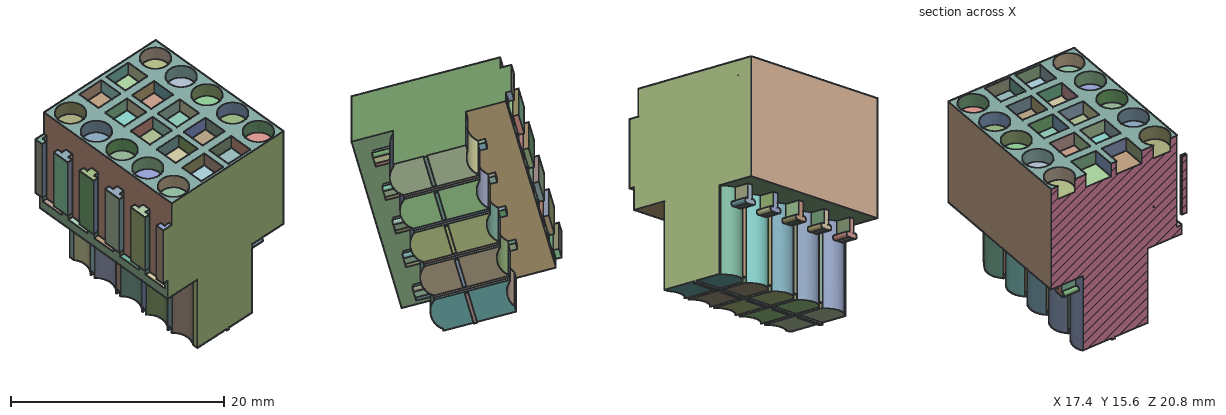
import cadquery as cq


POLES = 5
PITCH = 3.5
WIDTH = 17.4

BLOCK_HEIGHT = 8.75
BEAD_HEIGHT = 0.2
TOP_Z = 20.6
GUIDE_TOP_Z = TOP_Z - 2.75
GUIDE_PLATE_BOTTOM_Z = TOP_Z - 9.6
GUIDE_SLOT_BOTTOM_Z = TOP_Z - 10.75

HOUSING_DEPTH = 14.5
APRON_DEPTH = 15.05
GUIDE_DEPTH = 15.6

GUIDE_GAP_WIDTH = 1.55
GUIDE_SLOT_WIDTH = 2.6

OPENING_SHIFT = 0.1
SCREW_HOLE_DIAMETER = 2.95
SCREW_HOLE_DEPTH = 1.5
SCREW_HOLE_INSET = 1.75
POCKET_WIDTH = 2.6
POCKET_LENGTH = 2.85
POCKET_DEPTH = 1.5
POCKET_ROW_DEPTHS = (5.45, 8.95)

BLOCK_REAR = 4.07
BLOCK_WALL_FRONT = 11.17
BLOCK_STRIP_FRONT = 11.47
BARREL_RADIUS = 1.9
BARREL_CREST = 3.35
GROOVE_AXIS_DEPTH = 12.72
END_WALL = 0.6
STRIP_WIDTH = 0.65
KEY_SLOT_WIDTH = 0.42
KEY_SLOT_HEIGHT = 0.55
BEAD_WIDTH = 0.35
BEAD_DEPTH = 7.2

NUB_LENGTH = 0.7
NUB_HEIGHT = 0.95

HOOK_REAR = 1.72
HOOK_WIDTH = 0.6
HOOK_HEIGHT = 1.97
HOOK_BEAD_RADIUS = 0.28
HOOK_BEAD_OFFSET = 0.42

POLE_XS = [(i - (POLES - 1) / 2) * PITCH for i in range(POLES)]
GAP_XS = [x + PITCH / 2 for x in POLE_XS[:-1]]


def slab(center_x, width, rear, front, bottom, top):
    """Box given by its X centre and width, two depths from the rear face and two Z levels."""
    return (
        cq.Workplane("XY")
        .box(width, front - rear, top - bottom, centered=(True, False, False))
        .translate((center_x, -front, bottom))
    )


def upright_cylinder(center_x, depth, radius, bottom, top):
    return (
        cq.Workplane("XY", origin=(center_x, -depth, bottom))
        .circle(radius)
        .extrude(top - bottom)
    )


def make_housing():
    housing = slab(0, WIDTH, 0, HOUSING_DEPTH, BLOCK_HEIGHT, TOP_Z)
    apron = slab(0, WIDTH, HOUSING_DEPTH, APRON_DEPTH, BLOCK_HEIGHT, GUIDE_TOP_Z)
    plate = slab(0, WIDTH, APRON_DEPTH, GUIDE_DEPTH, GUIDE_PLATE_BOTTOM_Z, GUIDE_TOP_Z)
    return housing.union(apron).union(plate)


def cut_guide_slots(body):
    for x in POLE_XS:
        body = body.cut(
            slab(x, GUIDE_SLOT_WIDTH, HOUSING_DEPTH, APRON_DEPTH, GUIDE_SLOT_BOTTOM_Z, GUIDE_TOP_Z)
        )
        body = body.cut(
            slab(x, GUIDE_GAP_WIDTH, APRON_DEPTH, GUIDE_DEPTH, GUIDE_PLATE_BOTTOM_Z, GUIDE_TOP_Z)
        )
    return body


def cut_top_openings(body):
    screw_rows = (SCREW_HOLE_INSET, HOUSING_DEPTH - SCREW_HOLE_INSET)
    for pole_x in POLE_XS:
        x = pole_x + OPENING_SHIFT
        for depth in screw_rows:
            body = body.cut(
                upright_cylinder(x, depth, SCREW_HOLE_DIAMETER / 2, TOP_Z - SCREW_HOLE_DEPTH, TOP_Z)
            )
        for depth in POCKET_ROW_DEPTHS:
            rear = depth - POCKET_LENGTH / 2
            body = body.cut(
                slab(x, POCKET_WIDTH, rear, rear + POCKET_LENGTH, TOP_Z - POCKET_DEPTH, TOP_Z)
            )
    return body


def make_contact_block():
    block = slab(0, WIDTH, BLOCK_REAR, BLOCK_WALL_FRONT, 0, BLOCK_HEIGHT)
    strip_band = slab(
        0, WIDTH - 2 * END_WALL, BLOCK_WALL_FRONT, BLOCK_STRIP_FRONT, 0, BLOCK_HEIGHT
    )
    block = block.union(strip_band)
    barrel_band = slab(0, WIDTH, BARREL_CREST, BLOCK_REAR, 0, BLOCK_HEIGHT)
    for x in POLE_XS:
        barrel = upright_cylinder(x, BARREL_CREST + BARREL_RADIUS, BARREL_RADIUS, 0, BLOCK_HEIGHT)
        groove = upright_cylinder(x, GROOVE_AXIS_DEPTH, BARREL_RADIUS, 0, BLOCK_HEIGHT)
        block = block.union(barrel.intersect(barrel_band)).cut(groove)
    for x in GAP_XS:
        block = block.cut(
            slab(x, KEY_SLOT_WIDTH, BARREL_CREST, BLOCK_STRIP_FRONT, 0, KEY_SLOT_HEIGHT)
        )
    return block


def make_underside_bead():
    rear = BEAD_DEPTH - BEAD_WIDTH / 2
    front = rear + BEAD_WIDTH
    bead = slab(0, WIDTH, rear, front, -BEAD_HEIGHT, 0)
    for x in GAP_XS:
        bead = bead.cut(slab(x, STRIP_WIDTH, rear, front, -BEAD_HEIGHT, 0))
    return bead


def make_nub(x):
    return slab(
        x,
        STRIP_WIDTH,
        BLOCK_STRIP_FRONT,
        BLOCK_STRIP_FRONT + NUB_LENGTH,
        BLOCK_HEIGHT - NUB_HEIGHT,
        BLOCK_HEIGHT,
    )


def make_hook(x):
    """Hanging tongue with a round snap bead along each side of its lower edge."""
    bottom = BLOCK_HEIGHT - HOOK_HEIGHT
    hook = slab(x, HOOK_WIDTH, HOOK_REAR, BLOCK_REAR, bottom, BLOCK_HEIGHT)
    bead_z = bottom + HOOK_BEAD_RADIUS
    for side in (-1, 1):
        bead_x = x + side * HOOK_BEAD_OFFSET
        bead = (
            cq.Workplane("XZ", origin=(bead_x, -BLOCK_REAR, bead_z))
            .circle(HOOK_BEAD_RADIUS)
            .extrude(HOOK_REAR - BLOCK_REAR)
        )
        hook = hook.union(bead)
    return hook


result = cut_top_openings(cut_guide_slots(make_housing()))
result = result.union(make_contact_block()).union(make_underside_bead())
for gap_x in GAP_XS:
    result = result.union(make_nub(gap_x))
for pole_x in POLE_XS:
    result = result.union(make_hook(pole_x))